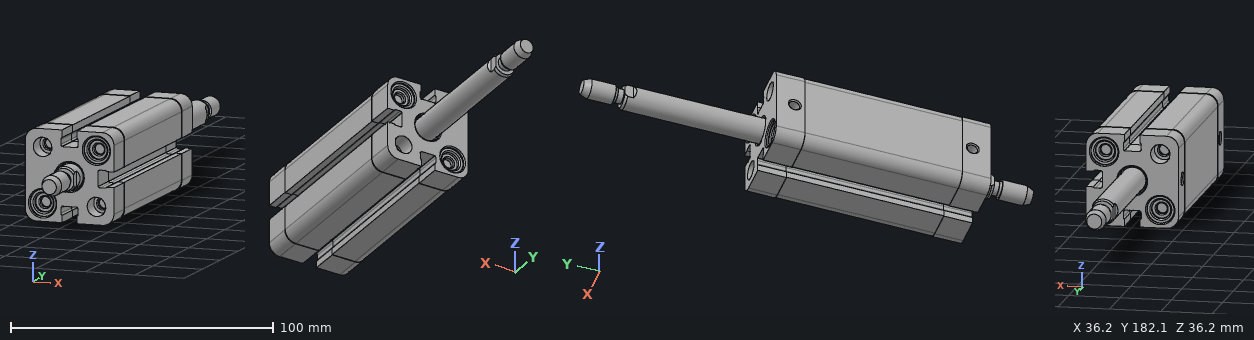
import cadquery as cq
import math

BODY_LENGTH = 87.0
CAP_LENGTH = 11.7
FRONT_REACH = 22.5
OVERALL_LENGTH = 182.1
REAR_REACH = OVERALL_LENGTH - BODY_LENGTH - FRONT_REACH

CAP_SIDE = 36.2
CAP_END_SIDE = 36.0
TUBE_SIDE = 35.9
CORNER_RADIUS = 4.7

SLOT_MOUTH = 6.0
SLOT_WIDTH = 7.0
SLOT_DEPTH = 6.5
SLOT_LIP = 3.0
SLOT_FILLET = 1.0

ROD_DIAMETER = 10.0
THREAD_DIAMETER = 8.0
THREAD_LENGTH = 9.8
NECK_DIAMETER = 5.8
NECK_LENGTH = 3.5
COLLAR_DIAMETER = 6.5
COLLAR_LENGTH = 1.1
TIP_DIAMETER = 5.8
TIP_LENGTH = 3.0
SHOULDER_CHAMFER_LENGTH = 1.1
SHOULDER_DIAMETER = 9.0
FLAT_SPAN = 8.0
FLAT_LENGTH = 3.5

WIPER_DIAMETER = 11.1
WIPER_RIM_DIAMETER = 12.0
WIPER_DEPTH = 1.5

HOLE_OFFSET = 11.0
CORE_DIAMETER = 4.2
CORE_CHAMFER_DIAMETER = 5.1
CORE_DEPTH = 1.8
PLAIN_DIAMETER = 7.5
PLAIN_DEPTH = 7.3
SEAT_DIAMETER = 10.5
SEAT_RIM_DIAMETER = 11.5
SEAT_DEPTH = 1.1
SEAT_THROAT_DIAMETER = 8.5
SEAT_FLOOR_DEPTH = 2.7

PORT_DIAMETER = 4.2
PORT_RIM_DIAMETER = 5.3
PORT_DEPTH = 5.5
PORT_INSET = 7.5

FRONT_JOINT = CAP_LENGTH


def section_plane(y):
    """Plane across the cylinder axis at y, extruding toward -Y."""
    return cq.Workplane("XZ", origin=(0, y, 0))


def bore(diameter, depth, x=0, z=0, start=0):
    """Cylinder along +Y, used to cut holes."""
    return section_plane(start).center(x, z).circle(diameter / 2).extrude(-depth)


def cone_bore(mouth, bottom, x=0, z=0, start=0):
    """45 degree countersink from the mouth diameter to the bottom diameter."""
    depth = (mouth - bottom) / 2
    return cq.Workplane(cq.Solid.makeCone(
        mouth / 2, bottom / 2, depth, pnt=cq.Vector(x, start, z), dir=cq.Vector(0, 1, 0)))


def slot_cutter():
    """T-slot on the +Z side; its wider chamber has rounded corners."""
    top = CAP_SIDE / 2
    mouth = cq.Workplane("XY").box(
        SLOT_MOUTH, BODY_LENGTH, SLOT_DEPTH, centered=(True, False, False))
    chamber = cq.Workplane("XY").box(
        SLOT_WIDTH, BODY_LENGTH, SLOT_DEPTH - SLOT_LIP, centered=(True, False, False))
    chamber = chamber.edges("|Y").fillet(SLOT_FILLET)
    return mouth.union(chamber).translate((0, 0, top - SLOT_DEPTH))


def cut_slots(body):
    """Slots on the +Z, +X and -Z sides."""
    for angle in (0, 90, 180):
        body = body.cut(slot_cutter().rotate((0, 0, 0), (0, 1, 0), angle))
    return body


def make_tube():
    """Square profile tube between the caps, bored for the rod."""
    length = BODY_LENGTH - 2 * CAP_LENGTH
    tube = section_plane(FRONT_JOINT).rect(TUBE_SIDE, TUBE_SIDE).extrude(-length)
    tube = tube.edges("|Y").fillet(CORNER_RADIUS)
    tube = cut_slots(tube)
    return tube.cut(bore(ROD_DIAMETER, length, start=FRONT_JOINT))


def plain_corner_hole(x, z, floor):
    """Hole down to the floor depth, with a small chamfered core hole in its floor."""
    hole = bore(PLAIN_DIAMETER, floor, x, z)
    hole = hole.union(cone_bore(CORE_CHAMFER_DIAMETER, CORE_DIAMETER, x, z, floor))
    return hole.union(bore(CORE_DIAMETER, CORE_DEPTH, x, z, floor))


def seated_corner_hole(x, z):
    """Shallow corner hole opening into a wide chamfered counterbore."""
    hole = plain_corner_hole(x, z, SEAT_FLOOR_DEPTH)
    hole = hole.union(bore(SEAT_DIAMETER, SEAT_DEPTH, x, z))
    hole = hole.union(cone_bore(SEAT_THROAT_DIAMETER, PLAIN_DIAMETER, x, z, SEAT_DEPTH))
    return hole.union(cone_bore(SEAT_RIM_DIAMETER, SEAT_DIAMETER, x, z))


def port_cutter():
    """Blind chamfered air port entering from the -X side."""
    port = bore(PORT_DIAMETER, PORT_DEPTH).union(cone_bore(PORT_RIM_DIAMETER, PORT_DIAMETER))
    port = port.rotate((0, 0, 0), (0, 0, 1), -90)
    return port.translate((-CAP_SIDE / 2, PORT_INSET, 0))


def make_front_cap():
    """Cap that narrows slightly from the tube joint to its outer face."""
    draft = math.degrees(math.atan((CAP_SIDE - CAP_END_SIDE) / 2 / CAP_LENGTH))
    outline = cq.Sketch().rect(CAP_SIDE, CAP_SIDE).vertices().fillet(CORNER_RADIUS)
    cap = section_plane(FRONT_JOINT).placeSketch(outline).extrude(CAP_LENGTH, taper=draft)
    cap = cut_slots(cap)
    cap = cap.cut(bore(ROD_DIAMETER, CAP_LENGTH))
    cap = cap.cut(bore(WIPER_DIAMETER, WIPER_DEPTH))
    cap = cap.cut(cone_bore(WIPER_RIM_DIAMETER, WIPER_DIAMETER))
    for side in (1, -1):
        cap = cap.cut(plain_corner_hole(-side * HOLE_OFFSET, side * HOLE_OFFSET, PLAIN_DEPTH))
        cap = cap.cut(seated_corner_hole(side * HOLE_OFFSET, side * HOLE_OFFSET))
    return cap.cut(port_cutter())


def make_rear_cap(front_cap):
    """Mirror image of the front cap about the middle of the body."""
    return front_cap.mirror("XZ", (0, BODY_LENGTH / 2, 0))


def rod_flats(shoulder, inward):
    """Pair of spanner flats on the +/-X sides, ending in a 45 degree run-out."""
    radius = ROD_DIAMETER / 2
    depth = radius - FLAT_SPAN / 2
    end = shoulder + inward * FLAT_LENGTH
    flat = (
        cq.Workplane("XY")
        .moveTo(FLAT_SPAN / 2, shoulder)
        .lineTo(FLAT_SPAN / 2, end)
        .lineTo(radius, end + inward * depth)
        .lineTo(radius, shoulder)
        .close()
        .extrude(radius, both=True)
    )
    return flat.union(flat.mirror("YZ"))


def make_rod():
    """Through rod with a stud end and spanner flats at both ends."""
    rod_radius, neck_radius = ROD_DIAMETER / 2, NECK_DIAMETER / 2
    collar_radius = COLLAR_DIAMETER / 2
    thread_radius, tip_radius = THREAD_DIAMETER / 2, TIP_DIAMETER / 2
    end_length = TIP_LENGTH + THREAD_LENGTH + NECK_LENGTH
    front_tip, rear_tip = -FRONT_REACH, BODY_LENGTH + REAR_REACH
    front_shoulder, rear_shoulder = front_tip + end_length, rear_tip - end_length

    shoulder_radius = SHOULDER_DIAMETER / 2
    rod = (
        cq.Workplane("XY")
        .moveTo(0, front_shoulder)
        .lineTo(shoulder_radius, front_shoulder)
        .lineTo(rod_radius, front_shoulder + SHOULDER_CHAMFER_LENGTH)
        .lineTo(rod_radius, rear_shoulder - SHOULDER_CHAMFER_LENGTH)
        .lineTo(shoulder_radius, rear_shoulder)
        .lineTo(0, rear_shoulder)
        .close()
        .revolve(360, (0, 0, 0), (0, 1, 0))
    )
    for tip, inward in ((front_tip, 1), (rear_tip, -1)):
        thread_start = tip + inward * TIP_LENGTH
        thread_end = thread_start + inward * THREAD_LENGTH
        collar_end = thread_end + inward * COLLAR_LENGTH
        shoulder = tip + inward * end_length
        stud = (
            cq.Workplane("XY")
            .moveTo(0, tip)
            .lineTo(tip_radius, tip)
            .lineTo(thread_radius, thread_start)
            .lineTo(thread_radius, thread_end)
            .lineTo(collar_radius, thread_end)
            .lineTo(collar_radius, collar_end)
            .lineTo(neck_radius, collar_end)
            .lineTo(neck_radius, shoulder)
            .lineTo(0, shoulder)
            .close()
            .revolve(360, (0, 0, 0), (0, 1, 0))
        )
        rod = rod.cut(rod_flats(shoulder, inward)).union(stud)
    return rod


tube = make_tube()
front_cap = make_front_cap()
rear_cap = make_rear_cap(front_cap)
piston_rod = make_rod()

result = cq.Compound.makeCompound([tube.val(), front_cap.val(), rear_cap.val(), piston_rod.val()])